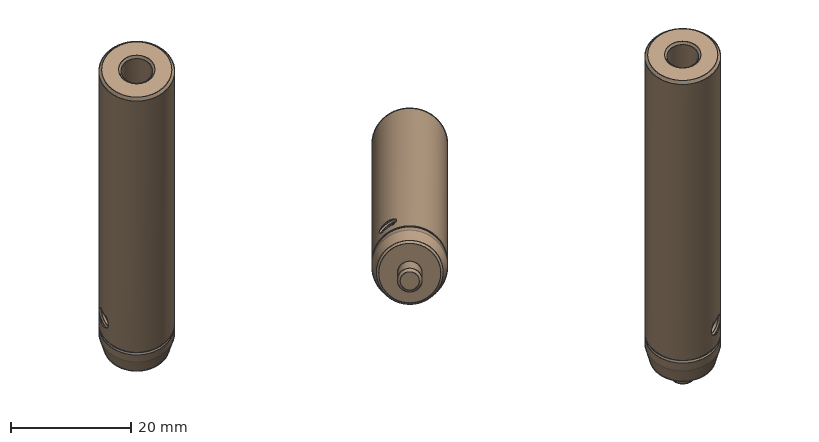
import cadquery as cq
import math

total_height = 79.5
body_diameter = 12.65
body_radius = body_diameter / 2
edge_chamfer = 0.5

joint_height = 10.6
joint_chamfer = 0.3

bore_diameter = 5.25
bore_chamfer = 0.4
bore_depth = 15.9
drill_point_angle = 118.0

cross_hole_diameter = 3.0
cross_hole_height = 15.6
cross_hole_countersink = 0.3
countersink_sink = 0.2

taper_top_height = 8.35
taper_bottom_height = 4.9
taper_bottom_radius = 5.6
nose_bottom_height = 4.5
nose_bottom_radius = 5.2
spigot_radius = 2.1


def revolve_profile(points):
    """Revolve a closed (radius, height) outline about the Z axis."""
    return cq.Workplane("XZ").polyline(points).close().revolve(360, (0, 0), (0, 1))


def make_bore():
    """Drilled bore with a conical end and a chamfered mouth."""
    radius = bore_diameter / 2
    floor_height = total_height - bore_depth
    point_length = radius / math.tan(math.radians(drill_point_angle / 2))
    return revolve_profile([
        (0, floor_height - point_length),
        (radius, floor_height),
        (radius, total_height - bore_chamfer),
        (radius + bore_chamfer, total_height),
        (0, total_height),
    ])


def make_cross_hole():
    """Through hole along Y, countersunk where it leaves the tube on both sides."""
    radius = cross_hole_diameter / 2
    mouth_radius = radius + cross_hole_countersink
    mouth_y = body_radius - countersink_sink
    outline = [
        (0, -body_radius),
        (mouth_radius, -body_radius),
        (mouth_radius, -mouth_y),
        (radius, -mouth_y + cross_hole_countersink),
        (radius, mouth_y - cross_hole_countersink),
        (mouth_radius, mouth_y),
        (mouth_radius, body_radius),
        (0, body_radius),
    ]
    hole = cq.Workplane("XY").polyline(outline).close().revolve(360, (0, 0), (0, 1))
    return hole.translate((0, 0, cross_hole_height))


def make_tube():
    """Long round body, chamfered at both ends, with the bore and the cross hole."""
    blank = revolve_profile([
        (0, joint_height),
        (body_radius - joint_chamfer, joint_height),
        (body_radius, joint_height + joint_chamfer),
        (body_radius, total_height - edge_chamfer),
        (body_radius - edge_chamfer, total_height),
        (0, total_height),
    ])
    return blank.cut(make_bore()).cut(make_cross_hole())


def make_nose():
    """Tapered nose below the tube, carrying the spigot."""
    return revolve_profile([
        (0, 0),
        (spigot_radius - edge_chamfer, 0),
        (spigot_radius, edge_chamfer),
        (spigot_radius, nose_bottom_height),
        (nose_bottom_radius, nose_bottom_height),
        (taper_bottom_radius, taper_bottom_height),
        (body_radius, taper_top_height),
        (body_radius, joint_height - joint_chamfer),
        (body_radius - joint_chamfer, joint_height),
        (0, joint_height),
    ])


tube = make_tube()
nose = make_nose()
result = cq.Compound.makeCompound([tube.val(), nose.val()])